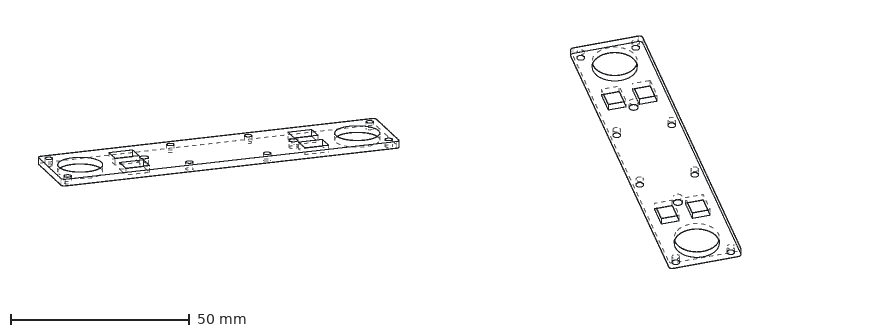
import cadquery as cq

width = 21.0
length = 100.0
thickness = 2.0
corner_radius = 1.0

screw_diameter = 2.1
screw_x = 8.0
screw_rows = (47.5, 11.5)

opening_diameter = 12.6
opening_y = 41.0

window_width = 5.2
window_length = 7.0
window_x = 4.5
window_y = 26.5

center_hole_diameter = 2.5
center_hole_y = 22.1


def mirrored(x, y):
    """Points at the four sign combinations, or two when x is zero."""
    columns = (-x, x) if x else (0,)
    return [(column, row) for column in columns for row in (-y, y)]


def cut_holes(body, points, diameter):
    """Drill through holes at the given points."""
    return body.faces(">Z").workplane(origin=(0, 0, thickness)).pushPoints(points).hole(diameter)


plate = cq.Workplane("XY").box(width, length, thickness, centered=(True, True, False))
plate = plate.edges("|Z").fillet(corner_radius)

for screw_y in screw_rows:
    plate = cut_holes(plate, mirrored(screw_x, screw_y), screw_diameter)
plate = cut_holes(plate, mirrored(0, opening_y), opening_diameter)
plate = cut_holes(plate, mirrored(0, center_hole_y), center_hole_diameter)

windows = (
    cq.Workplane("XY")
    .pushPoints(mirrored(window_x, window_y))
    .rect(window_width, window_length)
    .extrude(thickness)
)
result = plate.cut(windows)